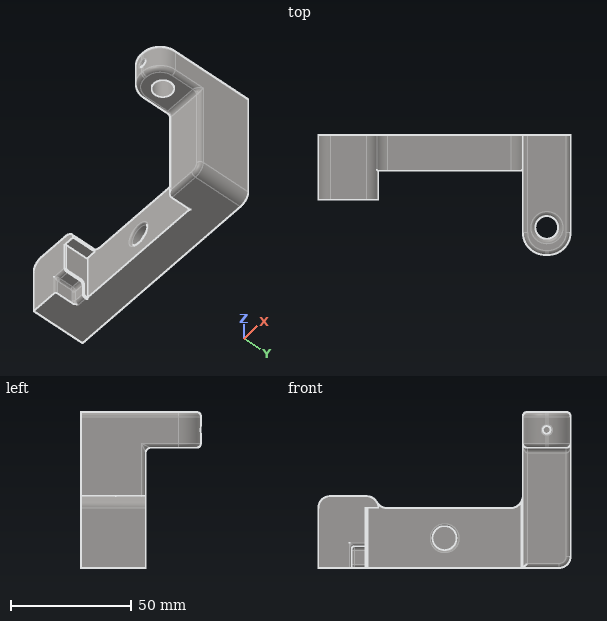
import cadquery as cq
import math

LENGTH = 105.0
REACH = 50.0
HEIGHT = 65.0

ARM_HEIGHT = 25.0
ARM_THICKNESS = 15.0
ARM_END_CHAMFER = 0.5
COVE_RADIUS = 5.0

HOOK_WIDTH = 20.0
HOOK_LIP = 5.0
HOOK_HEIGHT = ARM_HEIGHT + HOOK_LIP
HOOK_DEPTH = 27.0
HOOK_EDGE_CHAMFER = 0.5

NOTCH_LEFT = 13.9
NOTCH_HEIGHT = 9.0
NOTCH_DEPTH = 10.0
NOTCH_SIDE_RADIUS = 1.0
NOTCH_RADIUS = 1.6

PILLAR_WIDTH = 20.0
PILLAR_DEPTH = HOOK_DEPTH
PILLAR_LEFT = LENGTH - PILLAR_WIDTH
PILLAR_CORNER_RADIUS = 5.0
BAR_THICKNESS = 15.0
BAR_BOTTOM = HEIGHT - BAR_THICKNESS
BAR_END_RADIUS = 9.5
EDGE_RADIUS = 2.0

ARM_HOLE_DIAMETER = 10.0
ARM_HOLE_DEPTH = 5.0
ARM_HOLE_ROUNDING = 1.0
BAR_HOLE_DIAMETER = 9.38
BAR_HOLE_FROM_TIP = 11.5
BAR_HOLE_ROUNDING = 2.0
SCREW_HOLE_DIAMETER = 3.2
SCREW_HOLE_ROUNDING = 0.6

TOL = 0.01


def box(x0, x1, y0, y1, z0, z1):
    """Axis-aligned block between two opposite corners."""
    return cq.Workplane("XY").box(x1 - x0, y1 - y0, z1 - z0, centered=False).translate((x0, y0, z0))


def edges_within(x0, x1, y0, y1, z0, z1):
    """Selector for edges whose middle lies in the given box."""
    return cq.selectors.BoxSelector(
        (x0 - TOL, y0 - TOL, z0 - TOL), (x1 + TOL, y1 + TOL, z1 + TOL)
    )


def make_hook():
    """Block with a rounded top and a quarter-round lip overhanging to the right."""
    diagonal = HOOK_LIP * math.sqrt(0.5)
    left_mid = (HOOK_LIP - diagonal, ARM_HEIGHT + diagonal)
    right_mid = (HOOK_WIDTH + diagonal, ARM_HEIGHT + diagonal)
    hook = (
        cq.Workplane("XZ")
        .lineTo(0, ARM_HEIGHT)
        .threePointArc(left_mid, (HOOK_LIP, HOOK_HEIGHT))
        .lineTo(HOOK_WIDTH, HOOK_HEIGHT)
        .threePointArc(right_mid, (HOOK_WIDTH + HOOK_LIP, ARM_HEIGHT))
        .lineTo(HOOK_WIDTH, ARM_HEIGHT)
        .lineTo(HOOK_WIDTH, 0)
        .close()
        .extrude(HOOK_DEPTH)
    )
    return cut_notch(hook)


def cut_notch(hook):
    """Notch open to the front, right and bottom, with rounded mouth and floor edges."""
    floor = NOTCH_DEPTH - HOOK_DEPTH
    mouth = -HOOK_DEPTH
    hook = hook.cut(box(NOTCH_LEFT, HOOK_WIDTH, mouth, floor, 0, NOTCH_HEIGHT))
    for y, z in ((floor, 0), (mouth, NOTCH_HEIGHT), (floor, NOTCH_HEIGHT)):
        long_edge = edges_within(NOTCH_LEFT + NOTCH_SIDE_RADIUS, HOOK_WIDTH - NOTCH_SIDE_RADIUS, y, y, z, z)
        hook = hook.edges(long_edge).fillet(NOTCH_RADIUS)
    for y in (mouth, floor):
        upright = edges_within(NOTCH_LEFT, NOTCH_LEFT, y, y, NOTCH_RADIUS, NOTCH_HEIGHT - NOTCH_RADIUS)
        hook = hook.edges(upright).fillet(NOTCH_SIDE_RADIUS)
    upper = edges_within(HOOK_WIDTH, HOOK_WIDTH, mouth, mouth, NOTCH_HEIGHT, ARM_HEIGHT)
    return hook.edges(upper).chamfer(HOOK_EDGE_CHAMFER)


def make_arm():
    """Straight arm with coves rising into the hook and the pillar."""
    cove_left = HOOK_WIDTH + math.sqrt((HOOK_LIP + COVE_RADIUS) ** 2 - COVE_RADIUS**2)
    cove_right = PILLAR_LEFT - COVE_RADIUS
    cove_top = ARM_HEIGHT + COVE_RADIUS
    share = HOOK_LIP / (HOOK_LIP + COVE_RADIUS)
    touch_x = HOOK_WIDTH + (cove_left - HOOK_WIDTH) * share
    touch_z = ARM_HEIGHT + COVE_RADIUS * share

    arm = box(HOOK_WIDTH, PILLAR_LEFT, -ARM_THICKNESS, 0, 0, ARM_HEIGHT)
    left_cove = box(HOOK_WIDTH, cove_left, -ARM_THICKNESS, 0, ARM_HEIGHT, touch_z)
    right_cove = box(cove_right, PILLAR_LEFT, -ARM_THICKNESS, 0, ARM_HEIGHT, cove_top)
    arm = arm.union(left_cove).union(right_cove)
    for x in (cove_left, cove_right):
        round_cut = cq.Workplane("XZ").center(x, cove_top).circle(COVE_RADIUS).extrude(ARM_THICKNESS)
        arm = arm.cut(round_cut)
    arm = arm.cut(box(HOOK_WIDTH, touch_x, -ARM_THICKNESS, 0, ARM_HEIGHT, HOOK_HEIGHT))
    arm = arm.faces("<Y").edges("|Z").chamfer(ARM_END_CHAMFER)
    root_left = HOOK_WIDTH - HOOK_EDGE_CHAMFER
    root = box(root_left, HOOK_WIDTH, ARM_END_CHAMFER - ARM_THICKNESS, 0, 0, ARM_HEIGHT)
    return arm.union(root)


def make_pillar():
    """Upright pillar with a round-ended bar on top."""
    pillar = box(PILLAR_LEFT, LENGTH, -PILLAR_DEPTH, 0, 0, HEIGHT)
    pillar = pillar.edges("|Y and >X and <Z").fillet(PILLAR_CORNER_RADIUS)
    bar = box(PILLAR_LEFT, LENGTH, -REACH, 0, BAR_BOTTOM, HEIGHT)
    bar = bar.edges("|Z and <Y").fillet(BAR_END_RADIUS)
    body = pillar.union(bar).clean()

    front = -PILLAR_DEPTH
    overhang = front - EDGE_RADIUS
    below_bar = BAR_BOTTOM - EDGE_RADIUS
    bar_top_edges = edges_within(PILLAR_LEFT, LENGTH, -REACH, -EDGE_RADIUS, HEIGHT, HEIGHT)
    bar_bottom_edges = edges_within(PILLAR_LEFT, LENGTH, -REACH, overhang, BAR_BOTTOM, BAR_BOTTOM)
    pillar_edges = edges_within(PILLAR_LEFT, LENGTH, front, front, 0, below_bar)
    body = body.edges(bar_top_edges + bar_bottom_edges + pillar_edges).fillet(EDGE_RADIUS)
    inner_corner = edges_within(PILLAR_LEFT, LENGTH, front, front, BAR_BOTTOM, BAR_BOTTOM)
    return body.edges(inner_corner).fillet(EDGE_RADIUS)


def rounded_hole(body, plane, diameter, depth, rounding):
    """Sink a hole along the plane's negative normal, with a rounded mouth at the plane."""
    radius = diameter / 2
    slant = rounding * (1 - math.sqrt(0.5))
    profile = (
        cq.Workplane("XY")
        .lineTo(radius + rounding, 0)
        .threePointArc((radius + slant, -slant), (radius, -rounding))
        .lineTo(radius, -depth)
        .lineTo(0, -depth)
        .close()
    )
    cutter = profile.revolve(axisStart=(0, 0, 0), axisEnd=(0, 1, 0))
    cutter = cutter.rotate((0, 0, 0), (1, 0, 0), 90)
    return body.cut(cq.Workplane(cutter.val().moved(cq.Location(plane))))


def drill_holes(body):
    """Blind hole in the arm, through hole in the bar and a cross hole for a set screw."""
    along_x = (1, 0, 0)
    toward_front = (0, -1, 0)
    upward = (0, 0, 1)
    bar_middle = LENGTH - PILLAR_WIDTH / 2
    bore_y = BAR_HOLE_FROM_TIP - REACH

    arm_plane = cq.Plane((LENGTH / 2, -ARM_THICKNESS, ARM_HEIGHT / 2), along_x, toward_front)
    body = rounded_hole(body, arm_plane, ARM_HOLE_DIAMETER, ARM_HOLE_DEPTH, ARM_HOLE_ROUNDING)

    bar_plane = cq.Plane((bar_middle, bore_y, HEIGHT), along_x, upward)
    body = rounded_hole(body, bar_plane, BAR_HOLE_DIAMETER, BAR_THICKNESS, BAR_HOLE_ROUNDING)

    screw_z = BAR_BOTTOM + BAR_THICKNESS / 2
    screw_radius = SCREW_HOLE_DIAMETER / 2
    screw_plane = cq.Plane((bar_middle, bore_y, screw_z), along_x, toward_front)
    body = body.cut(cq.Workplane(screw_plane).circle(screw_radius).extrude(BAR_HOLE_FROM_TIP))
    mouth = edges_within(
        bar_middle - screw_radius,
        bar_middle + screw_radius,
        -REACH,
        -REACH + SCREW_HOLE_ROUNDING,
        screw_z - screw_radius,
        screw_z + screw_radius,
    )
    return body.edges(mouth).fillet(SCREW_HOLE_ROUNDING)


result = drill_holes(make_hook().union(make_arm()).union(make_pillar()))